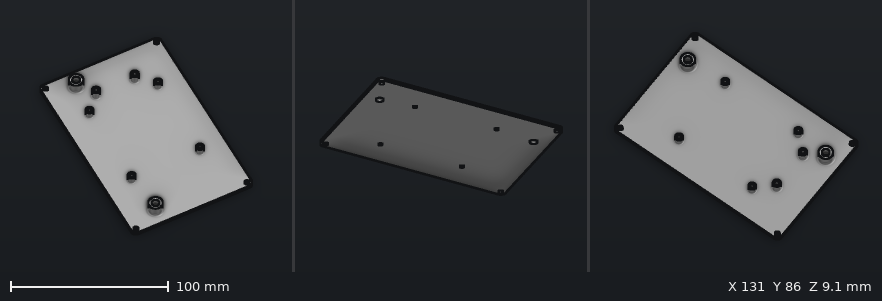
import cadquery as cq

length = 131.0
width = 86.0
thickness = 2.0
corner_radius = 3.3
corner_hole_diameter = 3.1

board_spacing_x = 57.9
board_spacing_y = 48.9
board_center_x = -2.0
board_diameter = 5.0
board_height = 5.0
board_hole = 2.6
board_fillet = 1.0

peg_x = -42.5
peg_spacing_y = 27.6
peg_diameter = 5.1
peg_height = 6.0
peg_hole = 2.9
peg_fillet = 1.6

boss_spacing_x = 109.3
boss_y = -21.7
boss_diameter = 9.2
boss_height = 7.1
boss_hole = 5.0
boss_fillet = 2.0


def mirrored_pair(spacing):
    """Coordinates of two places equally far from zero."""
    return (-spacing / 2, spacing / 2)


def flared_post(diameter, height, fillet):
    """Round post on the plate top with a concave fillet around its foot."""
    radius = diameter / 2
    profile = (
        cq.Workplane("XZ")
        .lineTo(radius + fillet, 0)
        .lineTo(radius + fillet, thickness)
        .radiusArc((radius, thickness + fillet), fillet)
        .lineTo(radius, thickness + height)
        .lineTo(0, thickness + height)
        .close()
    )
    return profile.revolve(360, (0, 0, 0), (0, 1, 0))


def add_posts(body, places, diameter, height, hole, fillet, hole_floor=0):
    """Add drilled posts whose holes run from the top down to hole_floor."""
    post = flared_post(diameter, height, fillet)
    drill_depth = thickness + height - hole_floor
    drill = cq.Workplane("XY").workplane(offset=hole_floor).circle(hole / 2).extrude(drill_depth)
    for x, y in places:
        body = body.union(post.translate((x, y, 0)))
        body = body.cut(drill.translate((x, y, 0)))
    return body


plate = (
    cq.Workplane("XY")
    .rect(length, width)
    .extrude(thickness)
    .edges("|Z")
    .fillet(corner_radius)
    .faces(">Z")
    .workplane()
    .rect(length - 2 * corner_radius, width - 2 * corner_radius, forConstruction=True)
    .vertices()
    .hole(corner_hole_diameter)
)

board_places = [
    (board_center_x + x, y)
    for x in mirrored_pair(board_spacing_x)
    for y in mirrored_pair(board_spacing_y)
]
peg_places = [(peg_x, y) for y in mirrored_pair(peg_spacing_y)]
boss_places = [(x, boss_y) for x in mirrored_pair(boss_spacing_x)]

result = add_posts(plate, board_places, board_diameter, board_height, board_hole, board_fillet)
result = add_posts(result, peg_places, peg_diameter, peg_height, peg_hole, peg_fillet, hole_floor=thickness)
result = add_posts(result, boss_places, boss_diameter, boss_height, boss_hole, boss_fillet)